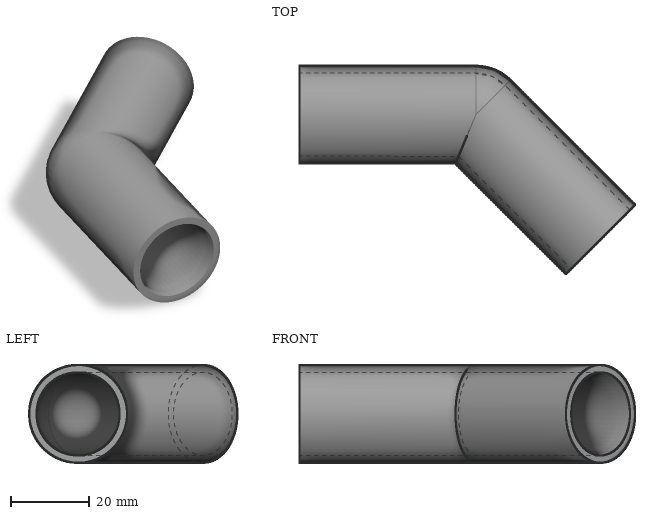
import cadquery as cq

outer_diameter = 25.0
inner_diameter = 21.2
leg_length = 45.0
bend_angle = 45.0


def elbow(diameter):
    """Solid elbow: two straight legs meeting in a ball of the same diameter at the origin."""
    radius = diameter / 2
    inlet_leg = cq.Workplane("YZ").circle(radius).extrude(-leg_length)
    outlet_leg = (
        cq.Workplane("YZ")
        .circle(radius)
        .extrude(leg_length)
        .rotate((0, 0, 0), (0, 0, 1), -bend_angle)
    )
    joint_ball = cq.Workplane("XY").sphere(radius)
    return inlet_leg.union(outlet_leg).union(joint_ball)


result = elbow(outer_diameter).cut(elbow(inner_diameter))